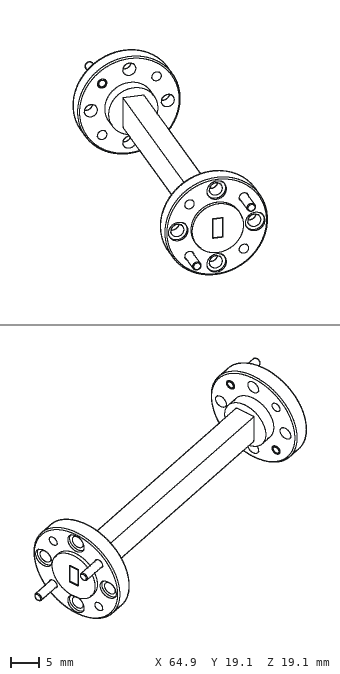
import cadquery as cq
import math

TOTAL_LENGTH = 64.9
PIN_PROTRUSION = 4.55
BOSS_HEIGHT = 0.7
FLANGE_THICKNESS = 3.35
HUB_LENGTH = 2.35

FLANGE_DIAMETER = 19.05
BOSS_DIAMETER = 9.55
HUB_DIAMETER = 9.14
RIM_CHAMFER = 0.28

GUIDE_WIDTH = 3.91
GUIDE_HEIGHT = 5.79
APERTURE_WIDTH = 1.88
APERTURE_HEIGHT = 3.76
APERTURE_DEPTH = 0.2

HOLE_CIRCLE_RADIUS = 14.29 / 2
SCREW_HOLE_DIAMETER = 2.39
COUNTERBORE_DIAMETER = 3.6
COUNTERBORE_DEPTH = 0.5
SCREW_ANGLES = (0, 90, 180, 270)

PIN_DIAMETER = 1.57
PIN_CHAMFER = 0.15
PIN_HOLE_DIAMETER = 1.75
PIN_ANGLES = (135, 315)
FREE_HOLE_ANGLES = (45, 225)

PIN_TIP_X = -TOTAL_LENGTH / 2
FLANGE_FACE_X = PIN_TIP_X + PIN_PROTRUSION
BOSS_FACE_X = FLANGE_FACE_X - BOSS_HEIGHT
FLANGE_BACK_X = FLANGE_FACE_X + FLANGE_THICKNESS
HUB_END_X = FLANGE_BACK_X + HUB_LENGTH


def on_plane(x):
    """Workplane facing +X at station x, with local axes Y and Z."""
    return cq.Workplane("YZ", origin=(x, 0, 0))


def cylinders(angles, diameter, start_x, end_x):
    """Cylinders along X, placed on the hole circle at the given angles."""
    points = [
        (
            HOLE_CIRCLE_RADIUS * math.cos(math.radians(angle)),
            HOLE_CIRCLE_RADIUS * math.sin(math.radians(angle)),
        )
        for angle in angles
    ]
    return on_plane(start_x).pushPoints(points).circle(diameter / 2).extrude(end_x - start_x)


def opposite_end(shape):
    """Copy of a -X end shape turned half a turn about Z, to the +X end."""
    return shape.rotate((0, 0, 0), (0, 0, 1), 180)


def make_flange():
    """Flange of the -X end with its boss, hub, holes and aperture recess."""
    disc = (
        on_plane(FLANGE_FACE_X)
        .circle(FLANGE_DIAMETER / 2)
        .extrude(FLANGE_THICKNESS)
        .edges()
        .chamfer(RIM_CHAMFER)
    )
    boss = on_plane(BOSS_FACE_X).circle(BOSS_DIAMETER / 2).extrude(BOSS_HEIGHT)
    hub = on_plane(FLANGE_BACK_X).circle(HUB_DIAMETER / 2).extrude(HUB_LENGTH)
    aperture = on_plane(BOSS_FACE_X).rect(APERTURE_WIDTH, APERTURE_HEIGHT).extrude(APERTURE_DEPTH)
    counterbore_floor_x = FLANGE_FACE_X + COUNTERBORE_DEPTH
    return (
        disc.union(boss)
        .union(hub)
        .cut(aperture)
        .cut(cylinders(SCREW_ANGLES, SCREW_HOLE_DIAMETER, FLANGE_FACE_X, FLANGE_BACK_X))
        .cut(cylinders(SCREW_ANGLES, COUNTERBORE_DIAMETER, FLANGE_FACE_X, counterbore_floor_x))
        .cut(cylinders(PIN_ANGLES + FREE_HOLE_ANGLES, PIN_HOLE_DIAMETER, FLANGE_FACE_X, FLANGE_BACK_X))
    )


def make_waveguide():
    """Rectangular guide with a flange at each end, as one body."""
    guide = on_plane(HUB_END_X).rect(GUIDE_WIDTH, GUIDE_HEIGHT).extrude(-2 * HUB_END_X)
    flange = make_flange()
    return guide.union(flange).union(opposite_end(flange))


def make_pins():
    """The two alignment pins of the -X flange, ending flush with its back."""
    pins = cylinders(PIN_ANGLES, PIN_DIAMETER, PIN_TIP_X, FLANGE_BACK_X)
    return pins.edges().chamfer(PIN_CHAMFER)


waveguide = make_waveguide()
near_pins = make_pins()
far_pins = opposite_end(near_pins)

result = cq.Compound.makeCompound([waveguide.val(), *near_pins.vals(), *far_pins.vals()])